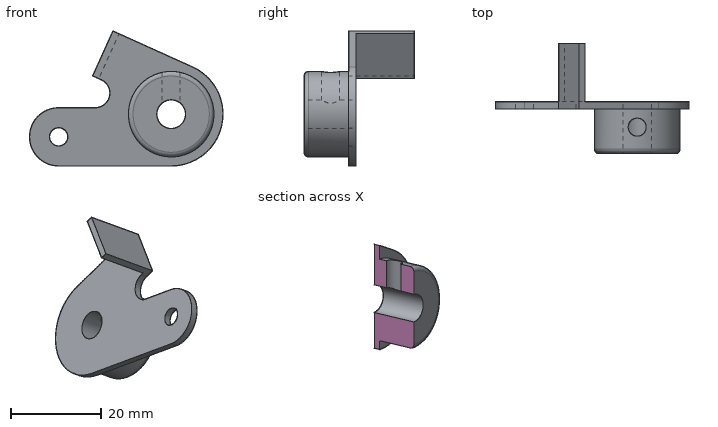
import cadquery as cq
import math

plate_thickness = 1.68
hub_plate_radius = 11.5
arm_radius = 6.5
arm_spacing = 24.98
arm_hole_diameter = 4.0

hub_diameter = 19.0
hub_length = 9.9
hub_edge_fillet = 1.05
bore_diameter = 6.3
set_screw_diameter = 4.0
set_screw_setback = 4.0

flange_tilt = math.radians(24.3)
flange_width = 10.95
flange_depth = 14.6
flange_thickness = 1.5
plate_top_height = 18.5
notch_radius = 3.22

arm_x = -arm_spacing
arm_z = arm_radius - hub_plate_radius
arm_top_z = arm_z + arm_radius

along = (-math.cos(flange_tilt), math.sin(flange_tilt))
outward = (math.sin(flange_tilt), math.cos(flange_tilt))


def sloped_point(distance_along, distance_outward):
    """X, Z position given in the tilted directions of the flange."""
    return (
        distance_along * along[0] + distance_outward * outward[0],
        distance_along * along[1] + distance_outward * outward[1],
    )


def on_circle(center, radius, direction):
    return (center[0] + radius * direction[0], center[1] + radius * direction[1])


top_edge_length = (plate_top_height - hub_plate_radius * outward[1]) / along[1]
flange_bottom = hub_plate_radius - flange_width

notch_z = arm_top_z + notch_radius
notch_x = (flange_bottom - notch_radius - notch_z * outward[1]) / outward[0]
notch_center = (notch_x, notch_z)
notch_mid_angle = -flange_tilt / 2
notch_mid_direction = (math.cos(notch_mid_angle), math.sin(notch_mid_angle))


def make_plate():
    tangent_angle = math.pi / 2 - flange_tilt
    mid_angle = (tangent_angle - math.pi / 2) / 2
    mid_direction = (math.cos(mid_angle), math.sin(mid_angle))
    return (
        cq.Workplane("XZ")
        .moveTo(arm_x, -hub_plate_radius)
        .lineTo(0, -hub_plate_radius)
        .threePointArc(
            on_circle((0, 0), hub_plate_radius, mid_direction),
            sloped_point(0, hub_plate_radius),
        )
        .lineTo(*sloped_point(top_edge_length, hub_plate_radius))
        .lineTo(*sloped_point(top_edge_length, flange_bottom))
        .lineTo(*on_circle(notch_center, notch_radius, outward))
        .threePointArc(
            on_circle(notch_center, notch_radius, notch_mid_direction),
            (notch_x, arm_top_z),
        )
        .lineTo(arm_x, arm_top_z)
        .threePointArc((arm_x - arm_radius, arm_z), (arm_x, -hub_plate_radius))
        .close()
        .extrude(-plate_thickness)
    )


def make_flange():
    inner_edge = top_edge_length - flange_thickness
    corners = [
        sloped_point(top_edge_length, hub_plate_radius),
        sloped_point(top_edge_length, flange_bottom),
        sloped_point(inner_edge, flange_bottom),
        sloped_point(inner_edge, hub_plate_radius),
    ]
    return cq.Workplane("XZ").polyline(corners).close().extrude(-flange_depth)


def make_hub():
    hub = cq.Workplane("XZ").circle(hub_diameter / 2).extrude(hub_length)
    return hub.faces("<Y").edges().fillet(hub_edge_fillet)


def make_through_hole(x, z, diameter):
    return (
        cq.Workplane("XZ", origin=(0, -hub_length, 0))
        .center(x, z)
        .circle(diameter / 2)
        .extrude(-(hub_length + plate_thickness))
    )


def make_set_screw_hole():
    """Radial hole through the upper hub wall into the bore."""
    return (
        cq.Workplane("XY")
        .center(0, -set_screw_setback)
        .circle(set_screw_diameter / 2)
        .extrude(hub_diameter / 2)
    )


result = (
    make_plate()
    .union(make_flange())
    .union(make_hub())
    .cut(make_through_hole(0, 0, bore_diameter))
    .cut(make_through_hole(arm_x, arm_z, arm_hole_diameter))
    .cut(make_set_screw_hole())
)